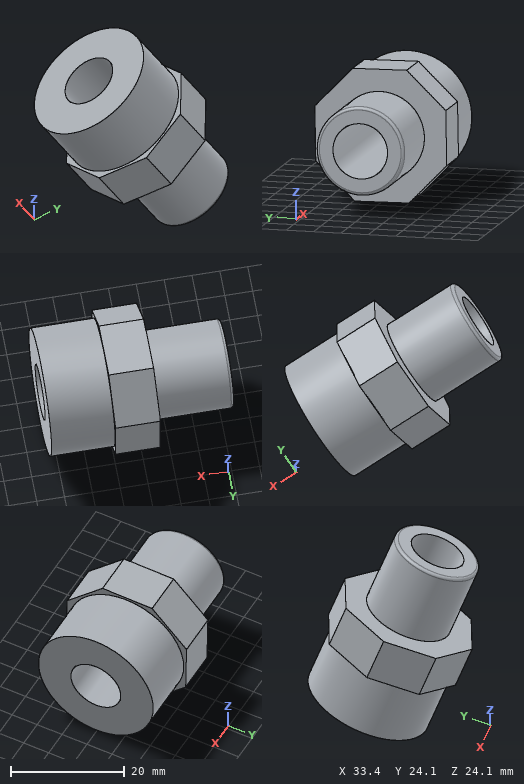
import cadquery as cq
import math

TOTAL_LENGTH = 33.4
SPIGOT_LENGTH = 13.95
COLLAR_LENGTH = 8.05
COLLAR_END = SPIGOT_LENGTH + COLLAR_LENGTH

BORE_DIAMETER = 10.0
SPIGOT_DIAMETER = 16.0
SPIGOT_ROUND = 0.55
SOCKET_DIAMETER = 23.0

COLLAR_ACROSS_FLATS = 23.98
COLLAR_SIDES = 8
COLLAR_TURN = 1.0


def cylinder(diameter, start, end):
    """Cylinder on the X axis."""
    return cq.Workplane("YZ", origin=(start, 0, 0)).circle(diameter / 2).extrude(end - start)


def make_fitting():
    """Bored fitting whose spigot runs through the collar to the socket shoulder."""
    spigot = cylinder(SPIGOT_DIAMETER, 0, COLLAR_END)
    spigot = spigot.faces("<X").edges().fillet(SPIGOT_ROUND)
    socket = cylinder(SOCKET_DIAMETER, COLLAR_END, TOTAL_LENGTH)
    bore = cylinder(BORE_DIAMETER, 0, TOTAL_LENGTH)
    return spigot.union(socket).cut(bore)


def make_collar():
    """Octagonal ring around the spigot, seated against the socket shoulder."""
    half_side_angle = 180 / COLLAR_SIDES
    corner_diameter = COLLAR_ACROSS_FLATS / math.cos(math.radians(half_side_angle))
    octagon = (
        cq.Workplane("YZ", origin=(SPIGOT_LENGTH, 0, 0))
        .transformed(rotate=(0, 0, half_side_angle - COLLAR_TURN))
        .polygon(COLLAR_SIDES, corner_diameter)
        .extrude(COLLAR_LENGTH)
    )
    return octagon.cut(cylinder(SPIGOT_DIAMETER, SPIGOT_LENGTH, COLLAR_END))


fitting = make_fitting()
collar = make_collar()

result = cq.Compound.makeCompound([fitting.val(), collar.val()])